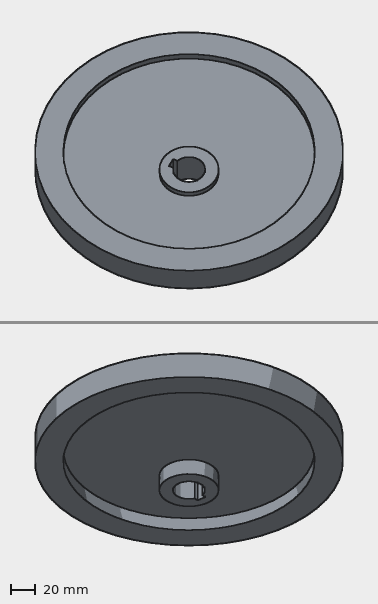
import cadquery as cq

rim_diameter = 250.0
rim_inner_diameter = 204.0
rim_height = 23.0

hub_diameter = 48.0
hub_height = 28.0

bore_diameter = 26.0
keyway_width = 8.0
keyway_reach = 16.2

upper_recess_depth = 5.75
web_rim_thickness = 5.75
hub_boss_height = 4.6
hub_spigot_height = 14.0

rim_radius = rim_diameter / 2
rim_inner_radius = rim_inner_diameter / 2
hub_radius = hub_diameter / 2
bore_radius = bore_diameter / 2
rim_bottom_z = hub_height
rim_top_z = rim_bottom_z + rim_height
web_top_at_rim_z = rim_top_z - upper_recess_depth
web_bottom_at_rim_z = web_top_at_rim_z - web_rim_thickness
web_top_at_hub_z = hub_height - hub_boss_height


def make_wheel_body():
    """Revolve the half section of rim, conical web and bored hub about Z."""
    half_section = [
        (bore_radius, 0),
        (hub_radius, 0),
        (hub_radius, hub_spigot_height),
        (rim_inner_radius, web_bottom_at_rim_z),
        (rim_inner_radius, rim_bottom_z),
        (rim_radius, rim_bottom_z),
        (rim_radius, rim_top_z),
        (rim_inner_radius, rim_top_z),
        (rim_inner_radius, web_top_at_rim_z),
        (hub_radius, web_top_at_hub_z),
        (hub_radius, hub_height),
        (bore_radius, hub_height),
    ]
    return cq.Workplane("XZ").polyline(half_section).close().revolve(360, (0, 0), (0, 1))


def make_keyway():
    """Bar running the full hub length on the -X side of the bore."""
    return (
        cq.Workplane("XY")
        .center(-keyway_reach / 2, 0)
        .rect(keyway_reach, keyway_width)
        .extrude(hub_height)
    )


result = make_wheel_body().cut(make_keyway())